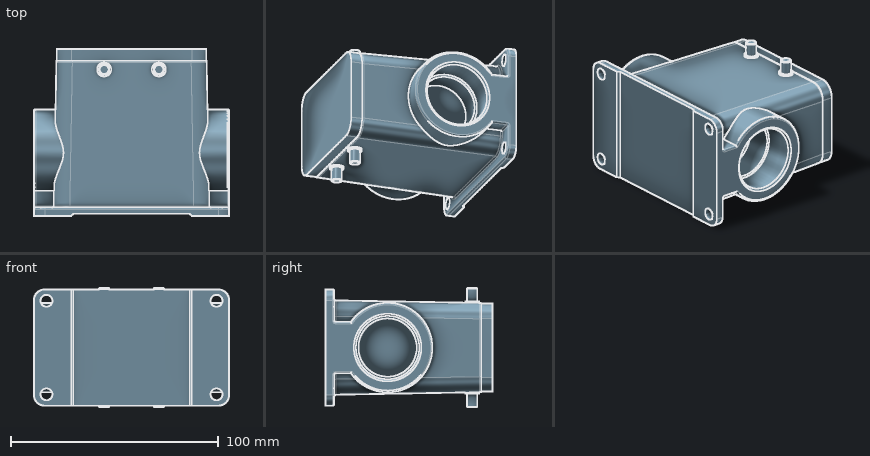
import cadquery as cq

plate_length = 94
plate_width = 56.0
plate_thickness = 4.2
plate_corner_radius = 5.3
edge_fillet = 0.8
edge_band = 0.1
screw_hole_radius = 2.8
screw_hole_x = 40.9
screw_hole_z = 22.5
relief_depth = 1.1
relief_floor_width = 55.8

body_base_length = 74.8
body_base_width = 45.5
body_corner_radius = 7.6
shoulder_height = 0.75
shoulder_inset = 0.1
draft_angle = 1.0
foot_fillet = 0.75

rim_y = 74.8
rim_length = 72.1
rim_width = 42.5
rim_corner_radius = 7.05
overall_height = 80.4

boss_y = 29.9
boss_radius = 21.5
boss_root_x = 23.5
web_width = 24.6
entry_radius = 15.2
entry_chamfer = 1.0
entry_depth = 15.5
throat_radius = 14.0
throat_depth = 28.2

overall_width = 57.5
pin_x = 13.2
pin_y = 70.5
pin_radius = 2.5
pin_chamfer = 0.4
collar_radius = 3.4
collar_top_z = 22.3


def plan_at(y):
    """Workplane at height y whose local axes are X and -Z and whose normal is +Y."""
    plane = cq.Plane(origin=(0, y, 0), xDir=(1, 0, 0), normal=(0, 1, 0))
    return cq.Workplane(plane)


def rounded_block(length, width, corner_radius, bottom_y, top_y):
    """Block with rounded corners running along Y."""
    block = plan_at(bottom_y).rect(length, width).extrude(top_y - bottom_y)
    return block.edges("|Y").fillet(corner_radius)


def make_plate():
    return rounded_block(plate_length, plate_width, plate_corner_radius, 0, plate_thickness)


def make_body():
    """Drafted body with constant-radius corners and a sloping shoulder below the rim."""
    height = rim_y - plate_thickness
    base = plan_at(plate_thickness).rect(body_base_length, body_base_width)
    body = base.extrude(height, taper=draft_angle)
    slanted_corners = body.edges("not #Y")
    body = slanted_corners.fillet(body_corner_radius)
    return body.faces(">Y").chamfer(shoulder_height, shoulder_inset)


def make_rim():
    return rounded_block(rim_length, rim_width, rim_corner_radius, rim_y, overall_height)


def make_boss():
    """Boss on the -X end, joined to the plate by a web of the same length."""
    end_x = -plate_length / 2
    end_plane = cq.Workplane("YZ", origin=(end_x, 0, 0))
    length = -boss_root_x - end_x
    boss = end_plane.center(boss_y, 0).circle(boss_radius).extrude(length)
    web = end_plane.center(boss_y / 2, 0).rect(boss_y, web_width).extrude(length)
    return boss.union(web)


def make_entry():
    """Stepped blind hole with a chamfered mouth, cut into the -X boss."""
    end_x = -plate_length / 2
    mouth_radius = entry_radius + entry_chamfer
    profile = [
        (end_x, 0),
        (end_x, mouth_radius),
        (end_x + entry_chamfer, entry_radius),
        (end_x + entry_depth, entry_radius),
        (end_x + entry_depth, throat_radius),
        (end_x + throat_depth, throat_radius),
        (end_x + throat_depth, 0),
    ]
    entry = cq.Workplane("XY").polyline(profile).close().revolve(360, (0, 0, 0), (1, 0, 0))
    return entry.translate((0, boss_y, 0))


def make_pins():
    """Pins that pass through the body in Z, each end with a collar and a chamfered tip."""
    places = [(-pin_x, pin_y), (pin_x, pin_y)]
    centres = cq.Workplane("XY").pushPoints(places)
    pins = centres.circle(pin_radius).extrude(overall_width / 2, both=True)
    pins = pins.faces("<Z or >Z").chamfer(pin_chamfer)
    collars = centres.circle(collar_radius).extrude(collar_top_z, both=True)
    return pins.union(collars)


def make_screw_holes():
    places = [(x, z) for x in (-screw_hole_x, screw_hole_x) for z in (-screw_hole_z, screw_hole_z)]
    return plan_at(0).pushPoints(places).circle(screw_hole_radius).extrude(plate_thickness)


def make_relief():
    """Shallow channel with 45 degree sides across the underside of the plate."""
    half_floor = relief_floor_width / 2
    half_mouth = half_floor + relief_depth
    profile = [
        (-half_mouth, 0),
        (half_mouth, 0),
        (half_floor, relief_depth),
        (-half_floor, relief_depth),
    ]
    return cq.Workplane("XY").polyline(profile).close().extrude(plate_width / 2, both=True)


def fillet_foot(casting):
    """Fillet where the body and the webs meet the top of the plate."""
    reach_x = plate_length / 2 - edge_fillet
    reach_z = (plate_width - plate_corner_radius) / 2
    low = (-reach_x, plate_thickness - edge_band, -reach_z)
    high = (reach_x, plate_thickness + edge_band, reach_z)
    return casting.edges(cq.selectors.BoxSelector(low, high)).fillet(foot_fillet)


def fillet_ends(casting):
    """Fillet the outline of both end faces; it runs on along the whole top edge of the plate."""
    low = (plate_length / 2 - edge_band, plate_thickness - edge_band, -plate_width)
    high = (plate_length / 2 + edge_band, overall_height, plate_width)
    right_end = cq.selectors.BoxSelector(low, high)
    left_end = cq.selectors.BoxSelector((-low[0], low[1], low[2]), (-high[0], high[1], high[2]))
    return casting.edges(cq.selectors.SumSelector(left_end, right_end)).fillet(edge_fillet)


boss = make_boss()
entry = make_entry()
casting = make_plate().union(make_body()).union(boss).union(boss.mirror("YZ"))
casting = fillet_ends(fillet_foot(casting))
casting = casting.union(make_rim()).union(make_pins())
casting = casting.cut(entry).cut(entry.mirror("YZ"))
result = casting.cut(make_screw_holes()).cut(make_relief())